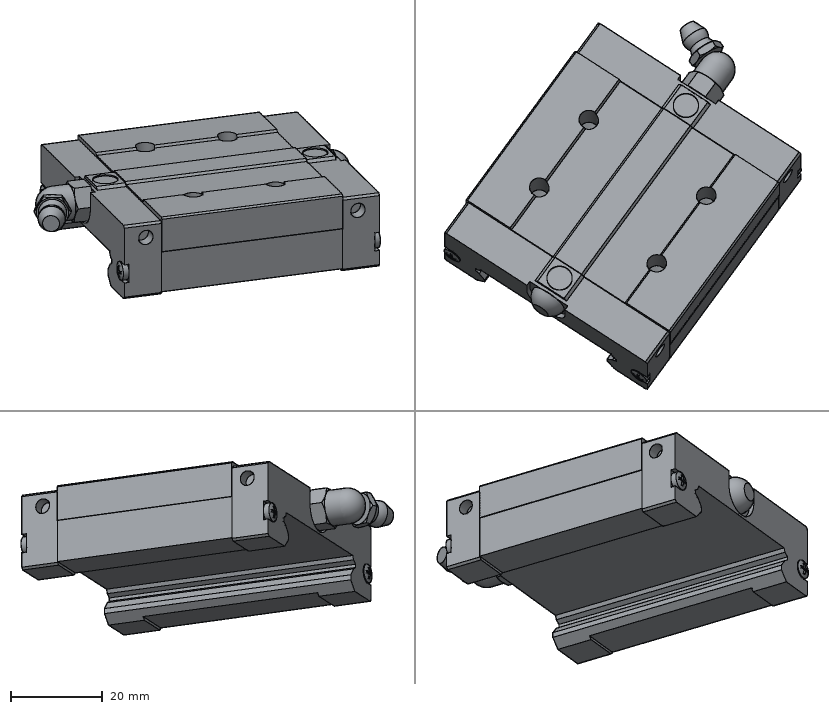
import cadquery as cq
import math

TOTAL_HEIGHT = 18.0
BODY_WIDTH = 54.0
BODY_LENGTH = 41.8
BODY_BOTTOM = 0.65
BODY_TOP_CHAMFER = 0.4
BODY_LOWER_WIDTH = 53.6
SIDE_STEP_HEIGHT = 10.0
GROOVE_DEPTH = 0.55
PAD_FLARE = 0.4
PAD_INNER_EDGE = 15.35
RIDGE_HALF_WIDTH = 3.5
BODY_RIDGE_FLARE = 0.5

CAP_WIDTH = 53.5
CAP_HEIGHT = 17.05
CAP_CHAMFER = 0.5
CAP_LENGTH = 6.7
PLATE_THICKNESS = 1.9
CAP_RIDGE_TOP = 17.7
CAP_RIDGE_FLARE = 0.65
CAP_INNER_Y = BODY_LENGTH / 2
PLATE_INNER_Y = CAP_INNER_Y + CAP_LENGTH
END_Y = PLATE_INNER_Y + PLATE_THICKNESS
POCKET_DEPTH = 1.1
POCKET_FLOOR_Y = END_Y - POCKET_DEPTH

CHANNEL_TOP = 7.9
CHANNEL_HALF_PROFILE = [
    (18.2, 0.0),
    (16.15, 2.05),
    (16.15, 3.2),
    (17.6, 4.95),
    (18.6, 5.55),
    (18.6, 6.3),
    (17.6, 7.0),
    (17.2, CHANNEL_TOP),
]

MOUNT_DIAMETER = 4.2
MOUNT_DEPTH = 7.5
MOUNT_PITCH_X = 31.0
MOUNT_PITCH_Y = 19.0
DRILL_POINT_ANGLE = 118.0
TOP_PORT_DIAMETER = 5.5
TOP_PORT_DEPTH = 0.3
TOP_PORT_Y = CAP_INNER_Y + CAP_LENGTH / 2
SIDE_PORT_DIAMETER = 3.3
SIDE_PORT_DEPTH = 3.0
SIDE_PORT_Y = 24.5
SIDE_PORT_Z = 13.75

SCREW_X = 24.65
SCREW_Z = 5.9
SCREW_RADIUS = CAP_WIDTH / 2 - SCREW_X
SCREW_RIM_HEIGHT = 1.3
SCREW_HEAD_HEIGHT = 1.75
CROSS_LENGTH = 2.5
CROSS_WIDTH = 0.55
SCREW_FLAT_RADIUS = CROSS_WIDTH / 2
CROSS_DEPTH = 0.5

FITTING_Z = 13.45
FITTING_POCKET_RADIUS = 5.0
ELBOW_HEX_ACROSS_FLATS = 8.0
ELBOW_HEX_LENGTH = 4.1
ELBOW_DIAMETER = 7.85
ELBOW_LENGTH = 7.8
NIPPLE_ANGLE = 22.5
NIPPLE_HEX_ACROSS_FLATS = 7.0
NIPPLE_HEX_START = 3.4
NIPPLE_HEX_END = 5.25
NIPPLE_COLLAR_RADIUS = 3.1
NIPPLE_THROAT = (2.4, 6.95)
NIPPLE_BULGE = (2.85, 7.9)
NIPPLE_CREST = (2.95, 9.1)
NIPPLE_TIP = (1.85, 11.9)
HEX_CHAMFER_ANGLE = 30.0
HEX_CORNER_SLOPE = math.tan(math.radians(HEX_CHAMFER_ANGLE))
PLUG_RADIUS = 4.1
PLUG_RIM_HEIGHT = 0.3
PLUG_HEIGHT = 3.1
PLUG_FLAT_RADIUS = 2.0

SIDES = (-1, 1)


def prism_along_y(outline, y_start, y_end):
    """Extrude a closed XZ outline from y_start to y_end."""
    plane = cq.Plane(origin=(0, y_start, 0), xDir=(-1, 0, 0), normal=(0, 1, 0))
    mirrored = [(-x, z) for x, z in outline]
    return cq.Workplane(plane).polyline(mirrored).close().extrude(y_end - y_start)


def symmetric(half_outline):
    """Complete a half outline, listed bottom to top on +X, with its mirror image."""
    return half_outline + [(-x, z) for x, z in reversed(half_outline)]


def end_plane(side, y, x=0.0, z=0.0):
    """Plane at distance y from the middle, facing out of the chosen end."""
    return cq.Plane(origin=(x, side * y, z), xDir=(-side, 0, 0), normal=(0, side, 0))


def make_body():
    half = BODY_WIDTH / 2
    groove_floor = TOTAL_HEIGHT - GROOVE_DEPTH
    outline = symmetric([
        (BODY_LOWER_WIDTH / 2, BODY_BOTTOM),
        (BODY_LOWER_WIDTH / 2, SIDE_STEP_HEIGHT),
        (half, SIDE_STEP_HEIGHT),
        (half, TOTAL_HEIGHT - BODY_TOP_CHAMFER),
        (half - BODY_TOP_CHAMFER, TOTAL_HEIGHT),
        (PAD_INNER_EDGE, TOTAL_HEIGHT),
        (PAD_INNER_EDGE - PAD_FLARE, groove_floor),
        (RIDGE_HALF_WIDTH + BODY_RIDGE_FLARE, groove_floor),
        (RIDGE_HALF_WIDTH, TOTAL_HEIGHT),
    ])
    return prism_along_y(outline, -BODY_LENGTH / 2, BODY_LENGTH / 2)


def make_end(side):
    """End cap with its ridge and the end plate outside it."""
    half = CAP_WIDTH / 2
    outline = symmetric([
        (half - CAP_CHAMFER, 0.0),
        (half, CAP_CHAMFER),
        (half, CAP_HEIGHT - CAP_CHAMFER),
        (half - CAP_CHAMFER, CAP_HEIGHT),
    ])
    ridge = symmetric([
        (RIDGE_HALF_WIDTH + CAP_RIDGE_FLARE, CAP_HEIGHT),
        (RIDGE_HALF_WIDTH, CAP_RIDGE_TOP),
    ])
    cap = prism_along_y(outline, side * CAP_INNER_Y, side * END_Y)
    return cap.union(prism_along_y(ridge, side * CAP_INNER_Y, side * PLATE_INNER_Y))


def mounting_holes():
    radius = MOUNT_DIAMETER / 2
    bottom = TOTAL_HEIGHT - MOUNT_DEPTH
    tip = bottom - radius / math.tan(math.radians(DRILL_POINT_ANGLE / 2))
    drill = (
        cq.Workplane("XZ")
        .polyline([(0, tip), (radius, bottom), (radius, TOTAL_HEIGHT), (0, TOTAL_HEIGHT)])
        .close()
        .revolve(360, (0, 0, 0), (0, 1, 0))
    )
    holes = cq.Workplane("XY")
    for side_x in SIDES:
        for side_y in SIDES:
            holes = holes.add(drill.translate((side_x * MOUNT_PITCH_X / 2, side_y * MOUNT_PITCH_Y / 2, 0)))
    return holes.combine()


def top_port(side):
    return (
        cq.Workplane("XY", origin=(0, side * TOP_PORT_Y, CAP_RIDGE_TOP))
        .circle(TOP_PORT_DIAMETER / 2)
        .extrude(-TOP_PORT_DEPTH)
    )


def side_port(side_x, side_y):
    return (
        cq.Workplane("YZ", origin=(side_x * CAP_WIDTH / 2, side_y * SIDE_PORT_Y, SIDE_PORT_Z))
        .circle(SIDE_PORT_DIAMETER / 2)
        .extrude(-side_x * SIDE_PORT_DEPTH)
    )


def fitting_pocket(side):
    """Round-bottomed recess in the plate face, open at the top."""
    rise = TOTAL_HEIGHT - FITTING_Z
    plane = end_plane(side, POCKET_FLOOR_Y, 0, FITTING_Z)
    disc = cq.Workplane(plane).circle(FITTING_POCKET_RADIUS).extrude(POCKET_DEPTH)
    opening = (
        cq.Workplane(plane)
        .center(0, rise / 2)
        .rect(2 * FITTING_POCKET_RADIUS, rise)
        .extrude(POCKET_DEPTH)
    )
    return disc.union(opening)


def screw_pocket(side_x, side_y):
    """Round recess under a screw head, open to the flank of the plate."""
    plane = end_plane(side_y, POCKET_FLOOR_Y, side_x * SCREW_X, SCREW_Z)
    disc = cq.Workplane(plane).circle(SCREW_RADIUS).extrude(POCKET_DEPTH)
    opening = (
        cq.Workplane(plane)
        .center(-side_x * side_y * SCREW_RADIUS / 2, 0)
        .rect(SCREW_RADIUS, 2 * SCREW_RADIUS)
        .extrude(POCKET_DEPTH)
    )
    return disc.union(opening)


def meridian(plane):
    """Sketch plane whose X is a radius and whose Y is the normal of the given plane."""
    normal = plane.xDir.cross(plane.zDir)
    return cq.Workplane(cq.Plane(origin=plane.origin.toTuple(), xDir=plane.xDir, normal=normal))


def spin(sketch):
    """Close a meridian sketch and revolve it about its Y axis."""
    return sketch.close().revolve(360, (0, 0, 0), (0, 1, 0))


def dome(plane, radius, rim_height, height, flat_radius):
    """Round head: straight rim below a spherical crown that ends in a flat."""
    ball_centre = (flat_radius**2 + height**2 - radius**2 - rim_height**2) / (2 * (height - rim_height))
    ball_radius = math.hypot(radius, rim_height - ball_centre)
    middle_height = (rim_height + height) / 2
    middle = (math.sqrt(ball_radius**2 - (middle_height - ball_centre) ** 2), middle_height)
    return spin(
        meridian(plane)
        .lineTo(radius, 0)
        .lineTo(radius, rim_height)
        .threePointArc(middle, (flat_radius, height))
        .lineTo(0, height)
    )


def hexagon(plane, across_flats, length, both_ends):
    """Hexagon with corners along the plane's X direction, its corners cut by cones."""
    corner = across_flats / math.sqrt(3)
    inner = across_flats / 2
    drop = (corner - inner) * HEX_CORNER_SLOPE
    if both_ends:
        start = [(inner, 0), (corner, drop)]
    else:
        start = [(corner, 0)]
    envelope = [(0, 0)] + start + [(corner, length - drop), (inner, length), (0, length)]
    blank = cq.Workplane(plane).polygon(6, 2 * corner).extrude(length)
    return blank.intersect(spin(meridian(plane).polyline(envelope)))


def screw(side_x, side_y):
    plane = end_plane(side_y, POCKET_FLOOR_Y, side_x * SCREW_X, SCREW_Z)
    head = dome(plane, SCREW_RADIUS, SCREW_RIM_HEIGHT, SCREW_HEAD_HEIGHT, SCREW_FLAT_RADIUS)
    recess = cq.Workplane(plane).workplane(offset=SCREW_HEAD_HEIGHT)
    upright = recess.rect(CROSS_WIDTH, CROSS_LENGTH).extrude(-CROSS_DEPTH)
    level = recess.rect(CROSS_LENGTH, CROSS_WIDTH).extrude(-CROSS_DEPTH)
    return head.cut(upright).cut(level)


def nipple(ball_y):
    """Hexagon and grease nipple, on an inclined axis through the ball centre."""
    angle = math.radians(NIPPLE_ANGLE)
    direction = cq.Vector(math.cos(angle), -math.sin(angle), 0)
    across = cq.Vector(math.sin(angle), math.cos(angle), 0)
    centre = cq.Vector(0, ball_y, FITTING_Z)
    axis_plane = cq.Plane(origin=centre.toTuple(), xDir=across, normal=direction)
    hex_origin = centre + direction * NIPPLE_HEX_START
    hex_plane = cq.Plane(origin=hex_origin.toTuple(), xDir=across, normal=direction)
    nut = hexagon(hex_plane, NIPPLE_HEX_ACROSS_FLATS, NIPPLE_HEX_END - NIPPLE_HEX_START, True)
    stem = spin(
        meridian(axis_plane)
        .moveTo(0, NIPPLE_HEX_START)
        .lineTo(NIPPLE_COLLAR_RADIUS, NIPPLE_HEX_START)
        .lineTo(NIPPLE_COLLAR_RADIUS, NIPPLE_HEX_END)
        .lineTo(*NIPPLE_THROAT)
        .threePointArc(NIPPLE_BULGE, NIPPLE_CREST)
        .lineTo(*NIPPLE_TIP)
        .lineTo(0, NIPPLE_TIP[1])
    )
    return nut.union(stem)


def grease_fitting():
    plane = end_plane(-1, POCKET_FLOOR_Y, 0, FITTING_Z)
    radius = ELBOW_DIAMETER / 2
    ball_y = -(POCKET_FLOOR_Y + ELBOW_LENGTH)
    nut = hexagon(plane, ELBOW_HEX_ACROSS_FLATS, ELBOW_HEX_LENGTH, False)
    elbow = cq.Workplane(plane).circle(radius).extrude(ELBOW_LENGTH)
    ball = cq.Workplane("XY").sphere(radius).translate((0, ball_y, FITTING_Z))
    return nut.union(elbow).union(ball).union(nipple(ball_y))


def build():
    part = make_body()
    for side in SIDES:
        part = part.union(make_end(side))
    part = part.cut(prism_along_y(symmetric(CHANNEL_HALF_PROFILE), -END_Y, END_Y))
    part = part.cut(mounting_holes())
    for side_y in SIDES:
        part = part.cut(top_port(side_y)).cut(fitting_pocket(side_y))
        for side_x in SIDES:
            part = part.cut(side_port(side_x, side_y)).cut(screw_pocket(side_x, side_y))
            part = part.union(screw(side_x, side_y))
    plug_plane = end_plane(1, POCKET_FLOOR_Y, 0, FITTING_Z)
    part = part.union(dome(plug_plane, PLUG_RADIUS, PLUG_RIM_HEIGHT, PLUG_HEIGHT, PLUG_FLAT_RADIUS))
    return part.union(grease_fitting())


result = build()